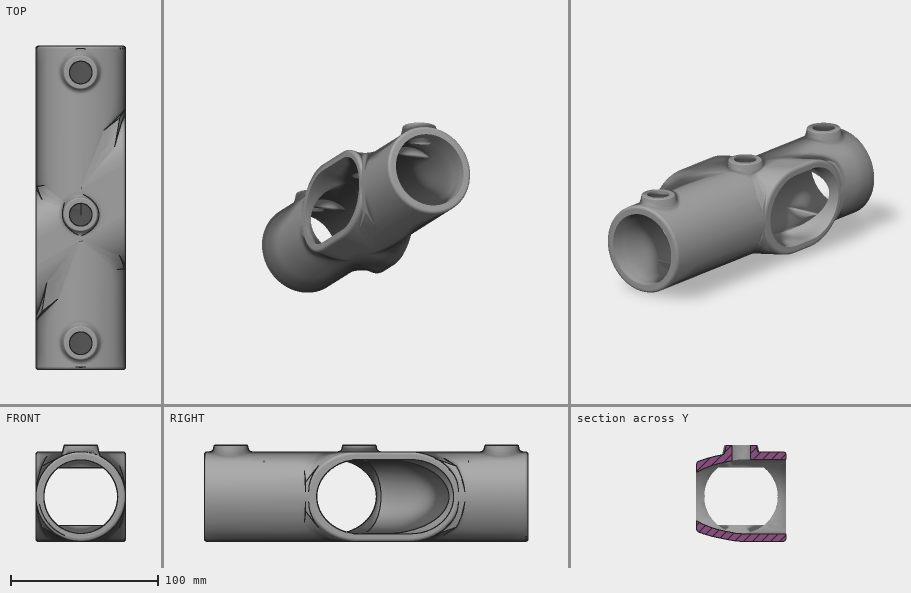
import cadquery as cq
import math

TUBE_LENGTH = 220.0
OUTER_RADIUS = 30.5
BORE_RADIUS = 25.0
RIM_FILLET = 2.0

CROSS_ANGLE = 30.0
CROSS_CENTER_Y = -4.7
SOCKET_BORE_RADIUS = 25.25
CROSS_HALF_SLOT = 15.0
MOUTH_X = OUTER_RADIUS

BLEND_HALF_ANGLE = 8.5
BLEND_START = 1.0
BLEND_SOCKET_LIMIT_WIDTH = 32.0
BLEND_SOCKET_LIMIT_HEIGHT = 48.0
BLEND_TUBE_LIMIT_WIDTH = 30.4
BLEND_TUBE_LIMIT_HEIGHT = 42.0

BOSS_TOP_Z = 35.0
BOSS_TOP_RADIUS = 11.3
BOSS_TAPER = 13.0
BOSS_FOOT_FILLET = 2.5
BOSS_RIM_FILLET = 0.8
SCREW_HOLE_RADIUS = 7.7
END_BOSS_Y = 92.0

STOP_Y = 72.0
STOP_CREST_Z = 19.5
STOP_CREST_HALF_WIDTH = 1.5
STOP_FOOT_HALF_WIDTH = 3.0
STOP_CREST_FILLET = 1.0
STOP_EMBED = 1.0

TILT = math.radians(CROSS_ANGLE)
CROSS_HALF_SLOT_Y = CROSS_HALF_SLOT / math.cos(TILT)
CROWN_NORTH_Y = CROSS_CENTER_Y + CROSS_HALF_SLOT_Y
CROWN_SOUTH_Y = CROSS_CENTER_Y - CROSS_HALF_SLOT_Y
BOSS_PLACES = (-END_BOSS_Y, CROSS_CENTER_Y, END_BOSS_Y)
BOSS_FOOT_Z = 24.0
BOSS_FOOT_RADIUS = BOSS_TOP_RADIUS + (BOSS_TOP_Z - BOSS_FOOT_Z) * math.tan(math.radians(BOSS_TAPER))
BOSS_PATCH_RADIUS = BOSS_FOOT_RADIUS + BOSS_FOOT_FILLET
REACH = 2 * TUBE_LENGTH


def rod(radius, length):
    """Cylinder along Y, centred on the origin."""
    return cq.Workplane("XZ", origin=(0, length / 2, 0)).circle(radius).extrude(length)


def socket_plane(y):
    """Upright plane across the tilted axis through (0, y, 0), its local x pointing towards +Y."""
    return cq.Plane(
        origin=(0, y, 0),
        xDir=(-math.sin(TILT), math.cos(TILT), 0),
        normal=(math.cos(TILT), math.sin(TILT), 0),
    )


def side_block(side, width):
    """Block between x = 0 and x = side * width, larger than the part along Y and Z."""
    return cq.Workplane("XY").box(width, REACH, REACH).translate((side * width / 2, 0, 0))


def half_socket(radius, side, offset_min, offset_max):
    """Slotted rod along the tilted axis, kept between x = 0 and the mouth on one side."""
    width = offset_max - offset_min
    prism = (
        cq.Workplane(socket_plane(CROSS_CENTER_Y))
        .center((offset_min + offset_max) / 2, 0)
        .slot2D(width + 2 * radius, 2 * radius)
        .extrude(REACH / 2, both=True)
    )
    return prism.intersect(side_block(side, MOUTH_X))


def sockets(radius):
    """Narrow socket on the -X side and wide socket on the +X side."""
    narrow = half_socket(radius, -1, -CROSS_HALF_SLOT, 0)
    wide = half_socket(radius, 1, -CROSS_HALF_SLOT, CROSS_HALF_SLOT)
    return narrow, wide


def blend_slice(side, along, crown_y, angle, reach):
    """Upright half-ellipse through the crown point, turned by angle from X."""
    turn = math.radians(angle)
    plane = cq.Plane(
        origin=(0, crown_y, 0),
        xDir=(side * math.cos(turn), along * math.sin(turn), 0),
        normal=(along * math.sin(turn), -side * math.cos(turn), 0),
    )
    start_height = OUTER_RADIUS * math.sqrt(1 - (BLEND_START / reach) ** 2)
    start_angle = math.degrees(math.acos(BLEND_START / reach))
    outline = (
        cq.Workplane(plane)
        .moveTo(BLEND_START, -start_height)
        .ellipseArc(reach, OUTER_RADIUS, -start_angle, start_angle, sense=1)
        .close()
    )
    return outline.val()


def blend(side, along, crown_y):
    """Fillet-like fill of the corner between the tube and a socket wall.

    The fill fans out from the crown point, and each upright slice through that point is half
    an ellipse as high as the tube. Side (along X) and along (along Y) are the signs of the
    directions in which the corner opens.
    """
    socket_rise = side * along * CROSS_ANGLE
    corner_angle = (90 + socket_rise) / 2
    half_opening = math.radians(90 - socket_rise) / 2
    corner = math.radians(corner_angle)
    tube_edge = math.radians(corner_angle + BLEND_HALF_ANGLE)
    tangent_length = math.tan(tube_edge) - math.tan(corner)
    arc_gap = tangent_length * (1 - math.sin(half_opening)) / math.cos(half_opening)
    edge_reach = OUTER_RADIUS / math.cos(tube_edge)
    middle_reach = OUTER_RADIUS * (1 / math.cos(corner) + arc_gap)
    slices = [
        blend_slice(side, along, crown_y, corner_angle - BLEND_HALF_ANGLE, edge_reach),
        blend_slice(side, along, crown_y, corner_angle, middle_reach),
        blend_slice(side, along, crown_y, corner_angle + BLEND_HALF_ANGLE, edge_reach),
    ]
    fan = cq.Workplane(cq.Solid.makeLoft(slices))

    socket_limit = (
        cq.Workplane(socket_plane(crown_y))
        .ellipse(BLEND_SOCKET_LIMIT_WIDTH, BLEND_SOCKET_LIMIT_HEIGHT)
        .extrude(REACH / 2, both=True)
    )
    tube_limit = (
        cq.Workplane("XZ")
        .ellipse(BLEND_TUBE_LIMIT_WIDTH, BLEND_TUBE_LIMIT_HEIGHT)
        .extrude(REACH / 2, both=True)
    )
    return fan.intersect(socket_limit).intersect(tube_limit)


def boss(y):
    """Tapered set-screw boss with a fillet round its foot, rising from inside the tube wall."""
    cone = cq.Solid.makeCone(BOSS_FOOT_RADIUS, BOSS_TOP_RADIUS, BOSS_TOP_Z - BOSS_FOOT_Z)
    cone = cq.Workplane(cone).faces(">Z").edges().fillet(BOSS_RIM_FILLET).translate((0, 0, BOSS_FOOT_Z))
    stub = rod(OUTER_RADIUS, 2 * BOSS_PATCH_RADIUS).union(cone)
    near_foot = cq.selectors.BoxSelector(
        (-BOSS_FOOT_RADIUS, -BOSS_FOOT_RADIUS, BOSS_FOOT_Z),
        (BOSS_FOOT_RADIUS, BOSS_FOOT_RADIUS, OUTER_RADIUS + BOSS_FOOT_FILLET),
        boundingbox=True,
    )
    stub = stub.edges(near_foot).fillet(BOSS_FOOT_FILLET)
    patch = cq.Workplane("XY").workplane(offset=BOSS_FOOT_Z).circle(BOSS_PATCH_RADIUS).extrude(BOSS_TOP_Z)
    return stub.intersect(patch).translate((0, y, 0))


def screw_hole(y):
    """Radial hole from the top of a boss into the bore."""
    return cq.Workplane("XY").center(0, y).circle(SCREW_HOLE_RADIUS).extrude(BOSS_TOP_Z)


def stop_ridge(y, side):
    """Tapered ridge across the bore, at the top (side 1) or the bottom (side -1)."""
    crest_z = side * STOP_CREST_Z
    foot_z = side * (BORE_RADIUS + STOP_EMBED)
    profile = [
        (y - STOP_FOOT_HALF_WIDTH, foot_z),
        (y - STOP_CREST_HALF_WIDTH, crest_z),
        (y + STOP_CREST_HALF_WIDTH, crest_z),
        (y + STOP_FOOT_HALF_WIDTH, foot_z),
    ]
    ridge = cq.Workplane("YZ").polyline(profile).close().extrude(OUTER_RADIUS, both=True)
    crest = "<Z" if side > 0 else ">Z"
    ridge = ridge.faces(crest).edges("|X").fillet(STOP_CREST_FILLET)
    return ridge.intersect(rod(BORE_RADIUS + STOP_EMBED, TUBE_LENGTH))


body = rod(OUTER_RADIUS, TUBE_LENGTH).faces("<Y or >Y").edges().fillet(RIM_FILLET)
narrow_shell, wide_shell = sockets(OUTER_RADIUS)
body = body.union(narrow_shell.faces("<X").edges().fillet(RIM_FILLET))
body = body.union(wide_shell.faces(">X").edges().fillet(RIM_FILLET))

body = body.union(blend(-1, 1, CROSS_CENTER_Y))
body = body.union(blend(-1, -1, CROWN_SOUTH_Y))
body = body.union(blend(1, 1, CROWN_NORTH_Y))
body = body.union(blend(1, -1, CROWN_SOUTH_Y))

for boss_y in BOSS_PLACES:
    body = body.union(boss(boss_y))

body = body.cut(rod(BORE_RADIUS, TUBE_LENGTH))
for passage in sockets(SOCKET_BORE_RADIUS):
    body = body.cut(passage)
for boss_y in BOSS_PLACES:
    body = body.cut(screw_hole(boss_y))

for stop_y in (-STOP_Y, STOP_Y):
    for stop_side in (-1, 1):
        body = body.union(stop_ridge(stop_y, stop_side))

result = body